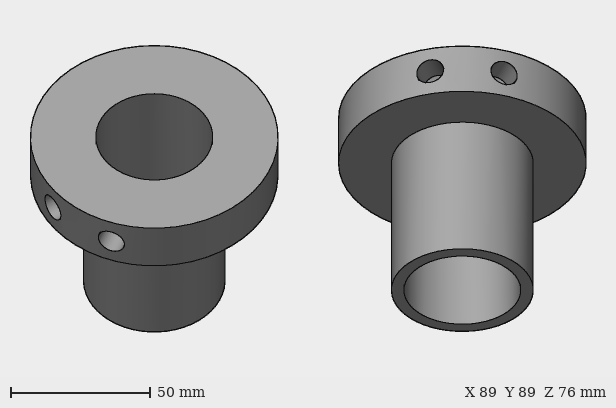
import cadquery as cq
import math

flange_diameter = 89.0
flange_thickness = 20.0
total_height = 76.0
sleeve_diameter = 51.0
bore_diameter = 42.0

hole_diameter = 10.0
hole_depth = 10.0
drill_tip_angle = 90.0
hole_angles = [10.0, 45.0]

flange_radius = flange_diameter / 2
sleeve_height = total_height - flange_thickness
hole_height = total_height - flange_thickness / 2


def make_flanged_sleeve():
    """Tube with a thick flange at its upper end and a through bore."""
    sleeve = cq.Workplane("XY").circle(sleeve_diameter / 2).extrude(sleeve_height)
    flange = (
        cq.Workplane("XY")
        .workplane(offset=sleeve_height)
        .circle(flange_radius)
        .extrude(flange_thickness)
    )
    bore = cq.Workplane("XY").circle(bore_diameter / 2).extrude(total_height)
    return sleeve.union(flange).cut(bore)


def make_drill(angle):
    """Drill-shaped cutter pointing at the axis, at an angle from -Y towards +X."""
    radius = hole_diameter / 2
    tip_length = radius / math.tan(math.radians(drill_tip_angle / 2))
    bottom = flange_radius - hole_depth
    profile = [
        (0, -flange_radius),
        (radius, -flange_radius),
        (radius, -bottom),
        (0, -bottom + tip_length),
    ]
    return (
        cq.Workplane("XY")
        .polyline(profile)
        .close()
        .revolve(360, (0, 0, 0), (0, 1, 0))
        .translate((0, 0, hole_height))
        .rotate((0, 0, 0), (0, 0, 1), angle)
    )


flanged_sleeve = make_flanged_sleeve()
for hole_angle in hole_angles:
    flanged_sleeve = flanged_sleeve.cut(make_drill(hole_angle))

result = cq.Compound.makeCompound([flanged_sleeve.val()])